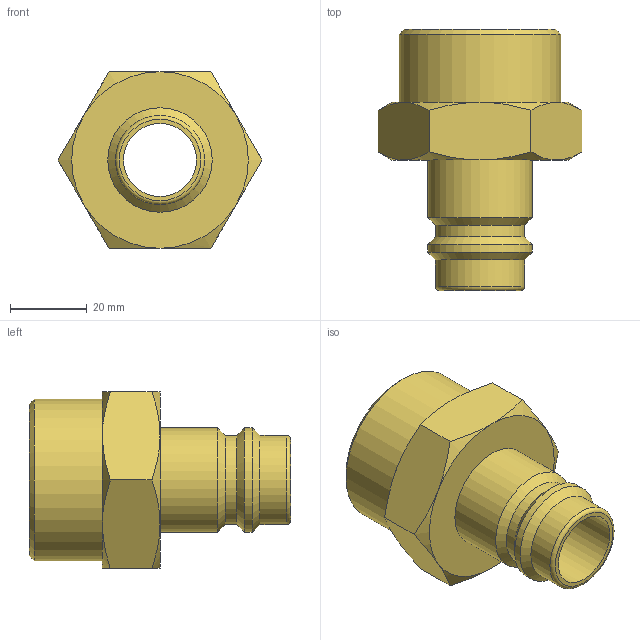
import cadquery as cq
import math

BORE_DIA = 19.0
NOSE_DIA = 23.2
SHANK_DIA = 27.2
BODY_DIA = 42.0

NOSE_LENGTH = 8.0
COLLAR_WIDTH = 2.0
GROOVE_WIDTH = 3.0
HEX_START = 34.0
HEX_LENGTH = 15.0
TOTAL_LENGTH = 68.0

HEX_ACROSS_FLATS = 46.0
HEX_CHAMFER_ANGLE = 30.0
NOSE_FILLET = 1.0
BODY_CHAMFER = 1.3

FLANK_LENGTH = (SHANK_DIA - NOSE_DIA) / 2
COLLAR_START = NOSE_LENGTH + FLANK_LENGTH
COLLAR_END = COLLAR_START + COLLAR_WIDTH
GROOVE_START = COLLAR_END + FLANK_LENGTH
GROOVE_END = GROOVE_START + GROOVE_WIDTH
SHANK_START = GROOVE_END + FLANK_LENGTH

HEX_END = HEX_START + HEX_LENGTH
HEX_ACROSS_CORNERS = HEX_ACROSS_FLATS / math.cos(math.radians(30))


def revolve_about_y(profile):
    """Revolve a closed (radius, y) profile in the XY plane about the Y axis."""
    return profile.close().revolve(360, (0, 0, 0), (0, 1, 0))


def make_plug():
    """Nose, locking collar, groove and shank, up to the hexagon."""
    nose_radius = NOSE_DIA / 2
    shank_radius = SHANK_DIA / 2
    fillet_start = nose_radius - NOSE_FILLET
    fillet_mid = NOSE_FILLET * math.sqrt(0.5)
    profile = (
        cq.Workplane("XY")
        .moveTo(0, 0)
        .lineTo(fillet_start, 0)
        .threePointArc((fillet_start + fillet_mid, NOSE_FILLET - fillet_mid), (nose_radius, NOSE_FILLET))
        .lineTo(nose_radius, NOSE_LENGTH)
        .lineTo(shank_radius, COLLAR_START)
        .lineTo(shank_radius, COLLAR_END)
        .lineTo(nose_radius, GROOVE_START)
        .lineTo(nose_radius, GROOVE_END)
        .lineTo(shank_radius, SHANK_START)
        .lineTo(shank_radius, HEX_START)
        .lineTo(0, HEX_START)
    )
    return revolve_about_y(profile)


def make_hexagon():
    """Hexagon with corners on the X axis and both end faces turned to a cone."""
    prism = (
        cq.Workplane("XZ", origin=(0, HEX_END, 0))
        .polygon(6, HEX_ACROSS_CORNERS)
        .extrude(HEX_LENGTH)
    )
    flat_radius = HEX_ACROSS_FLATS / 2
    cone_run = HEX_ACROSS_CORNERS - HEX_ACROSS_FLATS
    cone_rise = cone_run * math.tan(math.radians(HEX_CHAMFER_ANGLE))
    envelope = (
        cq.Workplane("XY")
        .moveTo(0, HEX_START)
        .lineTo(flat_radius, HEX_START)
        .lineTo(flat_radius + cone_run, HEX_START + cone_rise)
        .lineTo(flat_radius + cone_run, HEX_END - cone_rise)
        .lineTo(flat_radius, HEX_END)
        .lineTo(0, HEX_END)
    )
    return prism.intersect(revolve_about_y(envelope))


def make_body():
    """Rear cylinder with a chamfered outer edge."""
    return (
        cq.Workplane("XZ", origin=(0, HEX_END, 0))
        .circle(BODY_DIA / 2)
        .extrude(HEX_END - TOTAL_LENGTH)
        .faces(">Y")
        .chamfer(BODY_CHAMFER)
    )


def make_bore():
    """Through bore along the whole part."""
    return cq.Workplane("XZ").circle(BORE_DIA / 2).extrude(-TOTAL_LENGTH)


result = make_plug().union(make_hexagon()).union(make_body()).cut(make_bore())